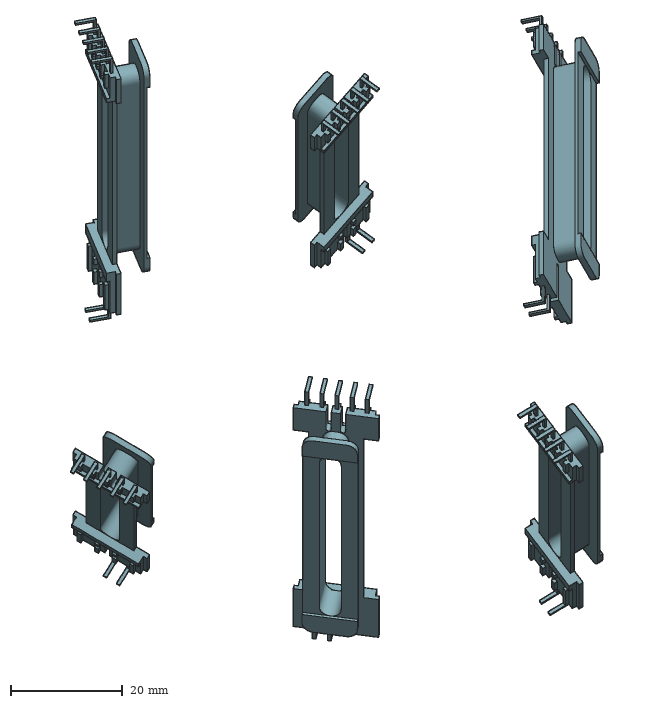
import cadquery as cq


OVERALL_WIDTH = 15.5
OVERALL_DEPTH = 11.0
OVERALL_HEIGHT = 62.5

REAR_WEB_BACK = -0.55
REAR_FLANGE_FRONT = -1.1
FRONT_FLANGE_BACK = -6.1
FRONT_FLANGE_FRONT = -7.0
BLOCK_FRONT = -7.95
RIB_FRONT = -8.6
PIN_TIP = -OVERALL_DEPTH

FLANGE_WIDTH = 10.0
REAR_FLANGE_HEIGHT = 48.6
COLUMN_WIDTH = 4.7
COLUMN_HEIGHT = 42.1
CORNER_RADIUS = 2.0
WINDOW_WIDTH = 4.0
WINDOW_CORNER_RADIUS = 1.95
BLOCK_GAP = 40.25
WINDOW_HEIGHT = BLOCK_GAP

INNER_EDGE = BLOCK_GAP / 2
BLOCK_WIDTH = 14.0
TOP_END = INNER_EDGE + 5.7
BOTTOM_END = -INNER_EDGE - 9.6
TOP_LEDGE = INNER_EDGE + 0.95
BOTTOM_LEDGE = -INNER_EDGE - 2.05
SLOT_WIDTH = 0.95
SLOT_CORNER_RADIUS = 0.45
TOP_SLOT_X = 1.3

PIN_PITCH = 2.75
PIN_WIDTH = 0.7
PIN_THICKNESS = 0.45
PIN_BACK = -7.1
TOP_PIN_END = 29.25
BOTTOM_PIN_END = TOP_PIN_END - OVERALL_HEIGHT

RIB_WIDTH = 0.8
CENTRE_RIB_WIDTH = 1.0
TOP_RIB_END = TOP_END - 3.25
TOP_NOTCH_LOW = TOP_RIB_END + 0.7
TOP_NOTCH_HIGH = TOP_NOTCH_LOW + 0.4
BOTTOM_RIB_END = BOTTOM_END + 5.9
BOTTOM_NOTCH_LOW = BOTTOM_END + 2.9
BOTTOM_NOTCH_HIGH = BOTTOM_NOTCH_LOW + 1.7
BOTTOM_INNER_RIB_X = 1.8


def bar(x, width, back, front, z_start, z_end):
    """Box centred on x, between two depths and two heights."""
    size = (width, back - front, abs(z_end - z_start))
    return cq.Workplane("XY").box(*size).translate((x, (back + front) / 2, (z_start + z_end) / 2))


def rounded_plate(width, height, radius, back, front):
    """Upright rectangular plate with its four corners rounded."""
    plate = bar(0, width, back, front, -height / 2, height / 2)
    return plate.edges("|Y").fillet(radius)


def winding_body():
    """Rear flange with thickened ends, winding column and front flange."""
    rear = rounded_plate(FLANGE_WIDTH, REAR_FLANGE_HEIGHT, CORNER_RADIUS, 0, REAR_FLANGE_FRONT)
    rear = rear.cut(bar(0, FLANGE_WIDTH, 0, REAR_WEB_BACK, -INNER_EDGE, INNER_EDGE))
    column = rounded_plate(COLUMN_WIDTH, COLUMN_HEIGHT, CORNER_RADIUS, REAR_FLANGE_FRONT, FRONT_FLANGE_BACK)
    front = bar(0, FLANGE_WIDTH, FRONT_FLANGE_BACK, FRONT_FLANGE_FRONT, -INNER_EDGE, INNER_EDGE)
    return rear.union(column).union(front)


def terminal_block(inner, ledge, end):
    """Wide base strip, raised block and the ledge along the winding side."""
    base = bar(0, OVERALL_WIDTH, FRONT_FLANGE_BACK, FRONT_FLANGE_FRONT, inner, end)
    block = bar(0, BLOCK_WIDTH, FRONT_FLANGE_FRONT, BLOCK_FRONT, inner, end)
    lip = bar(0, BLOCK_WIDTH, BLOCK_FRONT, RIB_FRONT, inner, ledge)
    return base.union(block).union(lip)


def wire_slot(x, ledge, end):
    """Slot open at the block end, with rounded corners at the ledge."""
    slot = bar(x, SLOT_WIDTH, FRONT_FLANGE_BACK, BLOCK_FRONT, ledge, end)
    closed_end = "<Z" if end > ledge else ">Z"
    return slot.faces(closed_end).edges("|Y").fillet(SLOT_CORNER_RADIUS)


def rib(x, width, z_start, z_end):
    """Upright rib standing on the front of a block."""
    return bar(x, width, BLOCK_FRONT, RIB_FRONT, z_start, z_end)


def bent_pin(x, root, end):
    """Pin leaving the block end and bent toward the front."""
    bend = end - PIN_THICKNESS if end > root else end + PIN_THICKNESS
    stem = bar(x, PIN_WIDTH, PIN_BACK, PIN_BACK - PIN_THICKNESS, root, end)
    leg = bar(x, PIN_WIDTH, PIN_BACK, PIN_TIP, bend, end)
    return stem.union(leg)


result = winding_body()
result = result.union(terminal_block(INNER_EDGE, TOP_LEDGE, TOP_END))
result = result.union(terminal_block(-INNER_EDGE, BOTTOM_LEDGE, BOTTOM_END))

window = rounded_plate(WINDOW_WIDTH, WINDOW_HEIGHT, WINDOW_CORNER_RADIUS, 0, FRONT_FLANGE_FRONT)
result = result.cut(window)

for slot_x in (-TOP_SLOT_X, TOP_SLOT_X):
    result = result.cut(wire_slot(slot_x, TOP_LEDGE, TOP_END))
result = result.cut(wire_slot(0, BOTTOM_LEDGE, BOTTOM_END))

for position in range(-2, 3):
    pin_x = position * PIN_PITCH
    result = result.union(bent_pin(pin_x, TOP_END, TOP_PIN_END))
    rib_width = CENTRE_RIB_WIDTH if position == 0 else RIB_WIDTH
    if abs(position) == 2:
        result = result.union(rib(pin_x, rib_width, TOP_RIB_END, TOP_END))
    else:
        result = result.union(rib(pin_x, rib_width, TOP_RIB_END, TOP_NOTCH_LOW))
        result = result.union(rib(pin_x, rib_width, TOP_NOTCH_HIGH, TOP_END))

for side in (-1, 1):
    outer_x = side * 2 * PIN_PITCH
    inner_x = side * BOTTOM_INNER_RIB_X
    result = result.union(rib(outer_x, RIB_WIDTH, BOTTOM_END, BOTTOM_RIB_END))
    result = result.union(rib(inner_x, RIB_WIDTH, BOTTOM_END, BOTTOM_NOTCH_LOW))
    result = result.union(rib(inner_x, RIB_WIDTH, BOTTOM_NOTCH_HIGH, BOTTOM_RIB_END))

for pin_x in (PIN_PITCH / 2, PIN_PITCH * 3 / 2):
    result = result.union(bent_pin(pin_x, BOTTOM_END, BOTTOM_PIN_END))